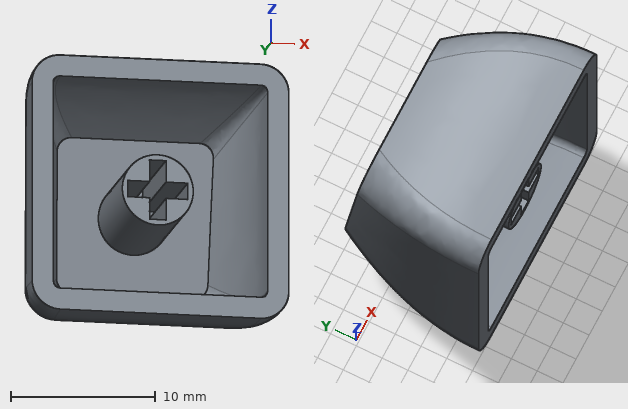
import cadquery as cq
import math

base_size = 18.1
base_corner_radius = 2.0
top_depth = 11.22
shoulder_depth = top_depth / 2
shoulder_size = 16.81
shoulder_corner_radius = 2.17
shoulder_tilt = 1.7
top_size = 12.72
top_corner_radius = 2.72
top_tilt = 7.0
wall = 1.5
top_wall_inset = 1.72
cavity_drop = 0.1

stem_diameter = 5.0
stem_recess = 1.0
cross_length = 4.22
cross_width = 1.15

rim_plane = cq.Plane(origin=(0, 0, 0), xDir=(1, 0, 0), normal=(0, 1, 0))
floor_depth = top_depth - wall / math.cos(math.radians(top_tilt))


def section(depth, tilt, size, radius, drop=0):
    """Rounded square across the cap, at a depth behind the rim, tilted about X and moved toward -Z."""
    outline = cq.Sketch().rect(size, size).vertices().fillet(radius)
    return outline.moved(cq.Location(cq.Vector(0, drop, depth), cq.Vector(1, 0, 0), tilt))


def make_form(side_inset=0, top_inset=0, drop=0):
    """Curved tapering body lofted through the rim, shoulder and tilted top, each with an inset."""
    rim = section(0, 0, base_size - 2 * side_inset, base_corner_radius - side_inset)
    shoulder = section(
        shoulder_depth, shoulder_tilt, shoulder_size - 2 * side_inset, shoulder_corner_radius - side_inset
    )
    top = section(top_depth, top_tilt, top_size - 2 * top_inset, top_corner_radius - side_inset, drop)
    return cq.Workplane(rim_plane).placeSketch(rim, shoulder, top).loft()


def make_cavity_limit():
    """Block in front of the cavity floor, which runs parallel to the top."""
    return (
        cq.Workplane(rim_plane)
        .transformed(offset=(0, 0, floor_depth), rotate=(top_tilt, 0, 0))
        .rect(2 * base_size, 2 * base_size)
        .extrude(-2 * top_depth)
    )


def make_shell():
    """Outer form hollowed from the rim down to the cavity floor."""
    cavity = make_form(wall, top_wall_inset, cavity_drop).intersect(make_cavity_limit())
    return make_form().cut(cavity)


def make_stem():
    """Post that ends on the cavity floor, with the cross socket along its whole length."""
    front = cq.Workplane(rim_plane).workplane(offset=stem_recess)
    post = front.circle(stem_diameter / 2).extrude(top_depth)
    for width, height in ((cross_length, cross_width), (cross_width, cross_length)):
        post = post.cut(front.rect(width, height).extrude(top_depth))
    return post.intersect(make_cavity_limit())


shell = make_shell()
stem = make_stem()

result = cq.Compound.makeCompound([shell.val(), stem.val()])